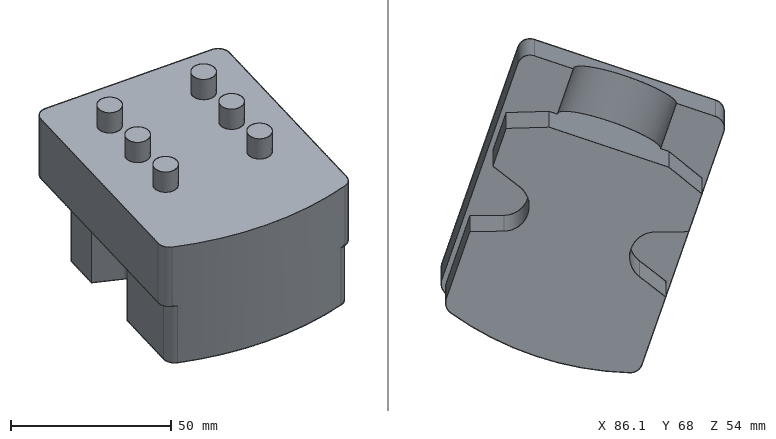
import cadquery as cq
import math

length = 86.05
upper_width = 68.0
upper_height = 23.5
lower_width = 64.7
lower_height = 22.55
lower_start = 15.3
nose_radius = 99.8
corner_radius = 4.05
top_z = lower_height + upper_height

back_slope_length = 4.7
back_face_width = 39.5

pin_diameter = 8.0
pin_height = 8.0
pin_pitch = 17.5
pin_row_spacing = 33.9
first_pin_x = 17.5

notch_center_x = 43.9
notch_mouth_width = 22.1
notch_flank_run = 3.5
notch_flank_depth = 10.0

arch_width = 34.1
arch_height = 14.7


def nose_x(y):
    """X position of the curved front end at a given Y."""
    return length - nose_radius + math.sqrt(nose_radius**2 - y**2)


def make_upper_block():
    half = upper_width / 2
    return (
        cq.Workplane("XY", origin=(0, 0, lower_height))
        .moveTo(0, -half)
        .lineTo(nose_x(half), -half)
        .threePointArc((length, 0), (nose_x(half), half))
        .lineTo(0, half)
        .close()
        .extrude(upper_height)
        .edges("|Z")
        .fillet(corner_radius)
    )


def make_lower_block():
    half = lower_width / 2
    back_half = back_face_width / 2
    slope_end = lower_start + back_slope_length
    return (
        cq.Workplane("XY")
        .moveTo(lower_start, -back_half)
        .lineTo(slope_end, -half)
        .lineTo(nose_x(half), -half)
        .threePointArc((length, 0), (nose_x(half), half))
        .lineTo(slope_end, half)
        .lineTo(lower_start, back_half)
        .close()
        .extrude(lower_height)
        .edges("|Z")
        .edges(">X")
        .fillet(corner_radius)
    )


def make_side_notch(side):
    """Notch with straight flanks running tangentially into a round bottom; side is -1 or 1."""
    mouth_half = notch_mouth_width / 2
    bottom_half = mouth_half - notch_flank_run
    flank_length = math.hypot(notch_flank_run, notch_flank_depth)
    bottom_radius = bottom_half * flank_length / notch_flank_depth
    bottom_rise = bottom_radius * (1 - notch_flank_run / flank_length)
    mouth_y = side * lower_width / 2
    flank_y = mouth_y - side * notch_flank_depth
    bottom_y = flank_y - side * bottom_rise
    return (
        cq.Workplane("XY")
        .moveTo(notch_center_x - mouth_half, mouth_y)
        .lineTo(notch_center_x - bottom_half, flank_y)
        .threePointArc((notch_center_x, bottom_y), (notch_center_x + bottom_half, flank_y))
        .lineTo(notch_center_x + mouth_half, mouth_y)
        .close()
        .extrude(lower_height)
    )


def make_arch():
    """Recess from the back face to the plane of the lower block's back face."""
    return (
        cq.Workplane("YZ", origin=(0, 0, lower_height))
        .ellipse(arch_width / 2, arch_height)
        .extrude(lower_start)
    )


def make_pins():
    centers = [
        (first_pin_x + column * pin_pitch, side * pin_row_spacing / 2)
        for column in range(3)
        for side in (-1, 1)
    ]
    return (
        cq.Workplane("XY", origin=(0, 0, top_z))
        .pushPoints(centers)
        .circle(pin_diameter / 2)
        .extrude(pin_height)
    )


lower_block = make_lower_block()
for notch_side in (-1, 1):
    lower_block = lower_block.cut(make_side_notch(notch_side))

upper_block = make_upper_block().cut(make_arch())
result = upper_block.union(lower_block).union(make_pins())